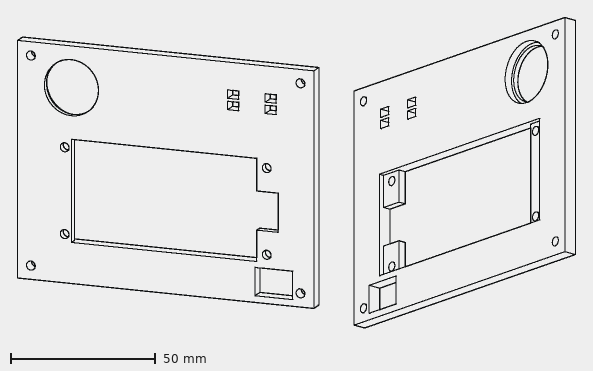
import cadquery as cq

panel_width = 110.0
panel_thickness = 5.0
panel_height = 85.0

screw_diameter = 3.2
corner_inset = 5.0
display_screw_spacing_x = 75.0
display_screw_spacing_z = 31.0
display_screw_center_z = 33.0

round_x = 20.0
round_z = panel_height - 15.0
round_diameter = 20.0
counterbore_diameter = 22.2
counterbore_depth = 3.0

window_left = 20.0
window_width = 68.8
window_height = 36.8
window_bottom = 14.7
notch_right = 96.8
notch_bottom = 26.0
notch_height = 14.0

board_pocket_floor = 3.0

socket_left = 88.1
socket_bottom = 2.4
socket_width = 14.0
socket_height = 10.1

slot_width = 4.1
slot_height = 3.0
slot_columns = (78.0, 92.0)
slot_bottom = 68.0
slot_pitch = 4.1


def rectangular_cutter(left, bottom, width, height):
    """Block through the whole thickness, placed by its lower left corner."""
    block = cq.Workplane("XY").box(width, panel_thickness, height, centered=False)
    return block.translate((left, 0, bottom))


def round_cutter(x, z, diameter, start_y, depth):
    """Cylinder running toward +Y from start_y."""
    axis = cq.Vector(0, 1, 0)
    base = cq.Vector(x, start_y, z)
    return cq.Workplane(cq.Solid.makeCylinder(diameter / 2, depth, base, axis))


def cut_screw_holes(panel, center_z, spacing_x, spacing_z):
    """Four through holes on a rectangle centered across the panel width."""
    for side_x in (-1, 1):
        for side_z in (-1, 1):
            x = panel_width / 2 + side_x * spacing_x / 2
            z = center_z + side_z * spacing_z / 2
            panel = panel.cut(round_cutter(x, z, screw_diameter, 0, panel_thickness))
    return panel


panel = cq.Workplane("XY").box(panel_width, panel_thickness, panel_height, centered=False)

corner_spacing_x = panel_width - 2 * corner_inset
corner_spacing_z = panel_height - 2 * corner_inset
panel = cut_screw_holes(panel, panel_height / 2, corner_spacing_x, corner_spacing_z)
panel = cut_screw_holes(panel, display_screw_center_z, display_screw_spacing_x, display_screw_spacing_z)

counterbore_start = panel_thickness - counterbore_depth
panel = panel.cut(round_cutter(round_x, round_z, round_diameter, 0, panel_thickness))
panel = panel.cut(
    round_cutter(round_x, round_z, counterbore_diameter, counterbore_start, counterbore_depth)
)

notch_left = window_left + window_width
panel = panel.cut(rectangular_cutter(window_left, window_bottom, window_width, window_height))
panel = panel.cut(
    rectangular_cutter(notch_left, notch_bottom, notch_right - notch_left, notch_height)
)

pocket_left = panel_width - notch_right
pocket_width = notch_right - pocket_left
board_pocket = rectangular_cutter(pocket_left, window_bottom, pocket_width, window_height)
panel = panel.cut(board_pocket.translate((0, board_pocket_floor, 0)))

panel = panel.cut(rectangular_cutter(socket_left, socket_bottom, socket_width, socket_height))

for slot_left in slot_columns:
    for row in range(2):
        slot_z = slot_bottom + row * slot_pitch
        panel = panel.cut(rectangular_cutter(slot_left, slot_z, slot_width, slot_height))

result = panel.translate((-panel_width / 2, -panel_thickness / 2, -panel_height / 2))